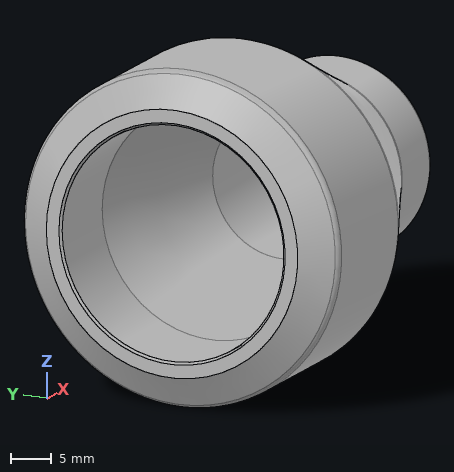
import cadquery as cq
import math

length = 50.0
large_length = 20.0
small_length = 10.0
small_start = length - small_length

large_diameter = 42.7
small_diameter = 25.0
large_bore = 29.9
small_bore = 19.0
bore_taper_start = 12.0
bore_taper_end = 32.5

bevel_angle = 32.0
large_face_radius = 16.95
small_face_radius = 10.5
outer_round = 1.0
mouth_chamfer = 0.3

large_radius = large_diameter / 2
small_radius = small_diameter / 2


def bevel_run(outer_radius, face_radius):
    """Axial length of an end bevel measured from the flat end face."""
    return (outer_radius - face_radius) * math.tan(math.radians(bevel_angle))


def revolve_about_x(points):
    """Turn an (axial, radial) outline into a solid around the X axis."""
    return cq.Workplane("XY").polyline(points).close().revolve(360, (0, 0, 0), (1, 0, 0))


def make_body():
    large_bevel_end = bevel_run(large_radius, large_face_radius)
    small_bevel_start = length - bevel_run(small_radius, small_face_radius)
    corner_positions = (large_bevel_end, large_length, small_start, small_bevel_start)
    body = revolve_about_x([
        (0, 0),
        (0, large_face_radius),
        (large_bevel_end, large_radius),
        (large_length, large_radius),
        (small_start, small_radius),
        (small_bevel_start, small_radius),
        (length, small_face_radius),
        (length, 0),
    ])
    selection_margin = 0.1
    for position in corner_positions:
        corner = cq.selectors.BoxSelector(
            (position - selection_margin, -selection_margin, -selection_margin),
            (position + selection_margin, selection_margin, selection_margin),
        )
        body = body.edges(corner).fillet(outer_round)
    return body


def make_bore():
    mouth_radius = large_bore / 2 + mouth_chamfer
    return revolve_about_x([
        (0, 0),
        (0, mouth_radius),
        (mouth_chamfer, large_bore / 2),
        (bore_taper_start, large_bore / 2),
        (bore_taper_end, small_bore / 2),
        (length, small_bore / 2),
        (length, 0),
    ])


result = make_body().cut(make_bore())